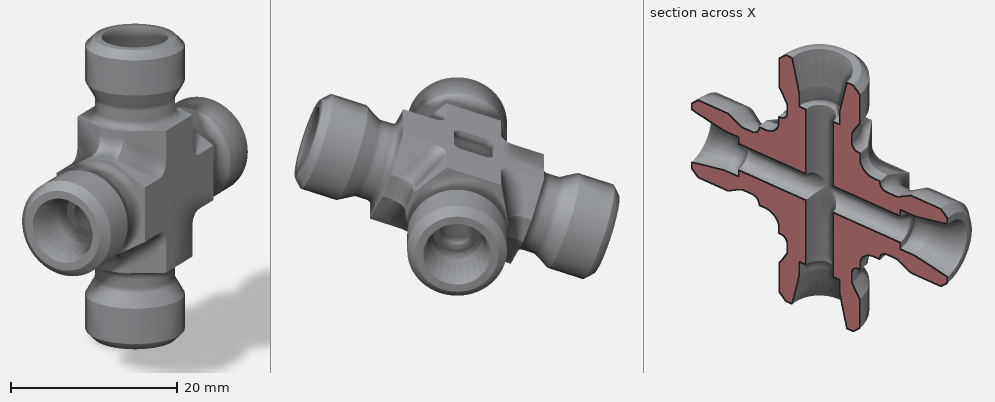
import cadquery as cq
import math

arm_reach = 19.0
width = 12.0
half_width = width / 2

body_reach = 9.0
bar_height = 12.12
corner_fillet = 2.0

end_chamfer = 1.0
crest_start = 13.53
neck_diameter = 9.7
neck_radius = neck_diameter / 2
neck_cone_angle = math.radians(30)
shoulder_fillet = 1.0
cone_blend_radius = 1.0

bore_diameter = 4.0
socket_diameter = 6.0
socket_depth = 7.0
mouth_diameter = 8.1
mouth_half_angle = math.radians(12)

badge_size = 5.0
badge_corner = 1.0
badge_depth = 1.0


def around_x(shape, turns):
    """Turn a shape lying along +Z about the X axis by quarter turns."""
    return shape.rotate((0, 0, 0), (1, 0, 0), 90 * turns)


def body_bar():
    """Bar along Z: hexagon with flats on +-X, its two +-Y points cut off."""
    hexagon_diameter = width / math.cos(math.radians(30))
    hexagon = (
        cq.Workplane("XY")
        .polygon(6, hexagon_diameter)
        .extrude(2 * body_reach)
        .rotate((0, 0, 0), (0, 0, 1), 30)
        .translate((0, 0, -body_reach))
    )
    return hexagon.intersect(cq.Workplane("XY").box(width, bar_height, 2 * body_reach))


def is_inner_corner(edge):
    """True for the concave edges where two arms meet, which lie on |Y| = |Z|."""
    tolerance = 0.0005
    ends = (edge.startPoint(), edge.endPoint())
    return all(abs(abs(p.y) - abs(p.z)) < tolerance and abs(p.y) > tolerance for p in ends)


def forged_body():
    bar = body_bar()
    cross = bar.union(around_x(bar, 1))
    corners = [edge for edge in cross.edges().vals() if is_inner_corner(edge)]
    return cross.newObject(corners).fillet(corner_fillet)


def stub():
    """Solid stub along +Z, with shoulder fillet, neck, cone, crest and end chamfer."""
    cone_height = (half_width - neck_radius) / math.tan(neck_cone_angle)
    neck_end = crest_start - cone_height
    blend_setback = cone_blend_radius * math.tan(neck_cone_angle / 2)
    blend_start = (neck_radius, neck_end - blend_setback)
    blend_end = (
        neck_radius + blend_setback * math.sin(neck_cone_angle),
        neck_end + blend_setback * math.cos(neck_cone_angle),
    )
    return (
        cq.Workplane("XZ")
        .moveTo(0, body_reach)
        .lineTo(neck_radius + shoulder_fillet, body_reach)
        .radiusArc((neck_radius, body_reach + shoulder_fillet), shoulder_fillet)
        .lineTo(*blend_start)
        .tangentArcPoint(blend_end, relative=False)
        .lineTo(half_width, crest_start)
        .lineTo(half_width, arm_reach - end_chamfer)
        .lineTo(half_width - end_chamfer, arm_reach)
        .lineTo(0, arm_reach)
        .close()
        .revolve(360, (0, 0, 0), (0, 1, 0))
    )


def bore():
    """Bore along +Z from the centre: through hole, tube socket and tapered mouth."""
    hole_radius = bore_diameter / 2
    socket_radius = socket_diameter / 2
    mouth_radius = mouth_diameter / 2
    socket_floor = arm_reach - socket_depth
    mouth_start = arm_reach - (mouth_radius - socket_radius) / math.tan(mouth_half_angle)
    return (
        cq.Workplane("XZ")
        .lineTo(hole_radius, 0)
        .lineTo(hole_radius, socket_floor)
        .lineTo(socket_radius, socket_floor)
        .lineTo(socket_radius, mouth_start)
        .lineTo(mouth_radius, arm_reach)
        .lineTo(0, arm_reach)
        .close()
        .revolve(360, (0, 0, 0), (0, 1, 0))
    )


def badge_recess():
    """Shallow square recess with rounded corners, sunk into the -X face."""
    return (
        cq.Workplane("YZ", origin=(-half_width, 0, 0))
        .rect(badge_size, badge_size)
        .extrude(badge_depth)
        .edges("|X")
        .fillet(badge_corner)
    )


result = forged_body()
for quarter in range(4):
    result = result.union(around_x(stub(), quarter))
for quarter in range(4):
    result = result.cut(around_x(bore(), quarter))
result = result.cut(badge_recess())